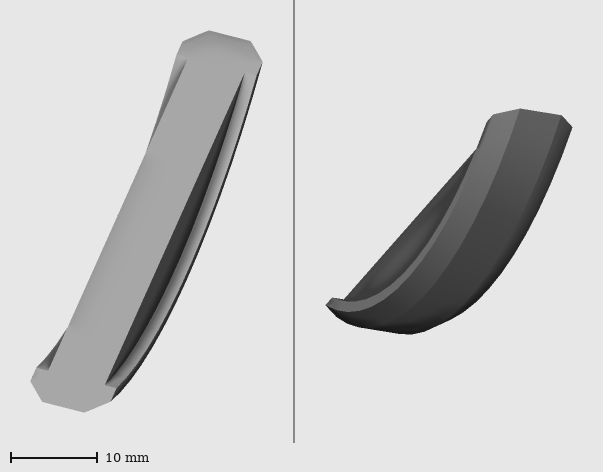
import cadquery as cq
import math

length = 60.0
height = 10.0
width = 9.8
chamfer_radial = 1.5
chamfer_side = 2.35
rim_thickness = 2.7
pocket_depth = 1.45

outer_radius = (length**2 / 4 + height**2) / (2 * height)
axis_height = outer_radius - height


def segment(radius, x_start, thickness):
    """Part of a disc about the common axis that lies below the top face."""
    half_chord = math.sqrt(radius**2 - axis_height**2)
    return (
        cq.Workplane("YZ", origin=(x_start, 0, 0))
        .moveTo(-half_chord, 0)
        .threePointArc((0, axis_height - radius), (half_chord, 0))
        .close()
        .extrude(thickness)
    )


half_width = width / 2
flat_half_width = half_width - chamfer_side
side_radius = outer_radius - chamfer_radial
disc = (
    cq.Workplane("XY")
    .polyline([
        (-half_width, 0),
        (-half_width, side_radius),
        (-flat_half_width, outer_radius),
        (flat_half_width, outer_radius),
        (half_width, side_radius),
        (half_width, 0),
    ])
    .close()
    .revolve(360, (0, 0, 0), (1, 0, 0))
    .translate((0, 0, axis_height))
)
body = disc.intersect(segment(outer_radius, -half_width, width))

pocket_radius = outer_radius - rim_thickness
for x_start in (-half_width, half_width - pocket_depth):
    body = body.cut(segment(pocket_radius, x_start, pocket_depth))

result = body